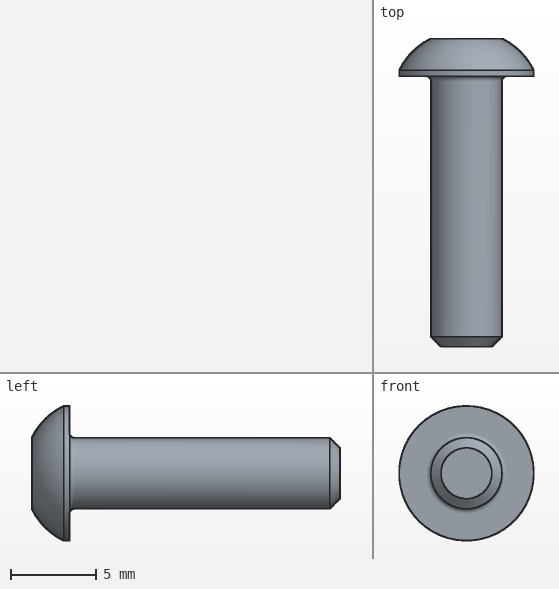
import cadquery as cq
import math

length = 18.08
head_radius = 7.92 / 2
head_height = 2.2
rim_height = 0.35
crown_radius = 4.25 / 2
dome_bulge = 0.22
shank_radius = 4.18 / 2
neck_fillet = 0.29
tip_chamfer = 0.6

head_top = length / 2
head_base = head_top - head_height
rim_top = head_base + rim_height
tip = -length / 2

chord_x = head_radius - crown_radius
chord_y = head_top - rim_top
chord = math.hypot(chord_x, chord_y)
dome_middle = (
    (head_radius + crown_radius) / 2 + dome_bulge * chord_y / chord,
    (rim_top + head_top) / 2 + dome_bulge * chord_x / chord,
)

arc_inset = neck_fillet * (1 - math.sqrt(0.5))
neck_middle = (shank_radius + arc_inset, head_base - arc_inset)

profile = (
    cq.Workplane("XY")
    .moveTo(0, tip)
    .lineTo(shank_radius - tip_chamfer, tip)
    .lineTo(shank_radius, tip + tip_chamfer)
    .lineTo(shank_radius, head_base - neck_fillet)
    .threePointArc(neck_middle, (shank_radius + neck_fillet, head_base))
    .lineTo(head_radius, head_base)
    .lineTo(head_radius, rim_top)
    .threePointArc(dome_middle, (crown_radius, head_top))
    .lineTo(0, head_top)
    .close()
)

result = profile.revolve(360, (0, 0, 0), (0, 1, 0))